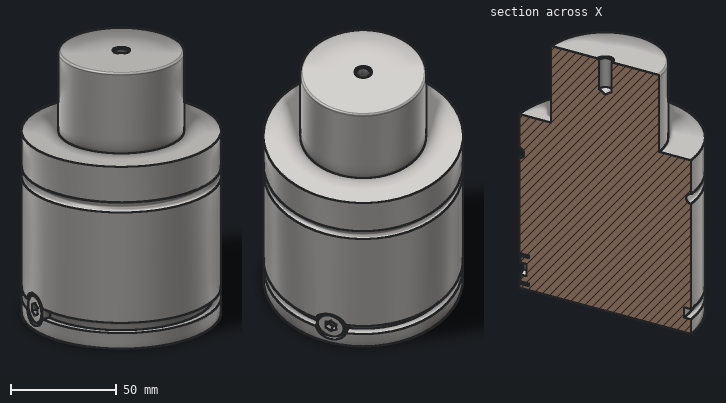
import cadquery as cq
import math

total_height = 134.0
body_diameter = 95.0
body_radius = body_diameter / 2
shoulder_height = 93.0
rod_diameter = 60.0
rod_edge_radius = 1.0

base_groove_bottom = 8.0
base_groove_top = 13.3
base_groove_depth = 3.8

round_groove_height = 72.2
round_groove_radius = 2.5

rod_hole_diameter = 6.8
rod_hole_mouth_diameter = 8.2
rod_hole_depth = 16.1
drill_point_angle = 118.0

port_height = 10.5
port_diameter = 16.0
port_depth = 5.2

plug_diameter = 14.0
plug_recess = 0.5
plug_chamfer = 0.4
hex_across_flats = 5.5
hex_depth = 3.4


def port_plane(recess):
    """Plane facing -Y, set below the body's outermost line by the recess."""
    return cq.Workplane("XZ", origin=(0, recess - body_radius, port_height))


def make_cylinder_body():
    body = cq.Workplane("XY").circle(body_radius).extrude(shoulder_height)
    rod = (
        cq.Workplane("XY")
        .circle(rod_diameter / 2)
        .extrude(total_height)
        .faces(">Z")
        .edges()
        .fillet(rod_edge_radius)
    )
    return body.union(rod)


def make_base_groove():
    return (
        cq.Workplane("XY", origin=(0, 0, base_groove_bottom))
        .circle(body_radius + base_groove_depth)
        .circle(body_radius - base_groove_depth)
        .extrude(base_groove_top - base_groove_bottom)
    )


def make_round_groove():
    ring = cq.Solid.makeTorus(body_radius, round_groove_radius)
    return cq.Workplane("XY").add(ring.moved(cq.Location(cq.Vector(0, 0, round_groove_height))))


def make_rod_hole():
    """Chamfered blind hole with a conical drill point."""
    radius = rod_hole_diameter / 2
    mouth_radius = rod_hole_mouth_diameter / 2
    point_length = radius / math.tan(math.radians(drill_point_angle / 2))
    straight_bottom = total_height - rod_hole_depth
    return (
        cq.Workplane("XZ")
        .moveTo(0, total_height)
        .lineTo(mouth_radius, total_height)
        .lineTo(radius, total_height - (mouth_radius - radius))
        .lineTo(radius, straight_bottom)
        .lineTo(0, straight_bottom - point_length)
        .close()
        .revolve(360, (0, 0), (0, 1))
    )


def make_port():
    """Flat-bottomed round bore."""
    return port_plane(0).circle(port_diameter / 2).extrude(-port_depth)


def make_plug():
    """Round plug with a chamfered rim and a hexagon socket."""
    plug = (
        port_plane(plug_recess)
        .circle(plug_diameter / 2)
        .extrude(plug_recess - port_depth)
        .faces("<Y")
        .chamfer(plug_chamfer)
    )
    corner_radius = hex_across_flats / 2 / math.cos(math.pi / 6)
    corner_angles = [math.radians(30 + 60 * i) for i in range(6)]
    hexagon = [(corner_radius * math.cos(a), corner_radius * math.sin(a)) for a in corner_angles]
    socket = (
        port_plane(plug_recess)
        .polyline(hexagon)
        .close()
        .extrude(-hex_depth)
    )
    return plug.cut(socket)


body = make_cylinder_body()
for cutter in (make_base_groove(), make_round_groove(), make_rod_hole(), make_port()):
    body = body.cut(cutter)

result = body.union(make_plug())